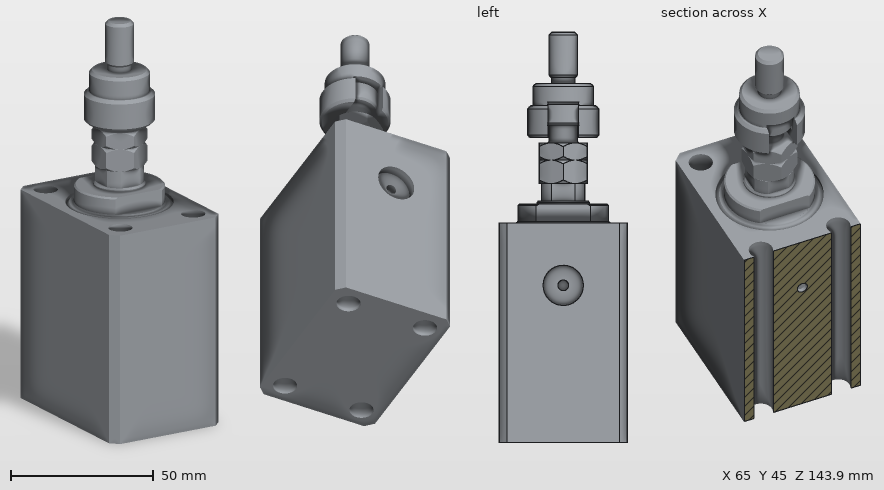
import cadquery as cq
import math

BLOCK_X = 65.0
BLOCK_Y = 45.0
BLOCK_TOP = 77.0
BLOCK_CORNER_CHAMFER = 2.9
BOLT_HOLE_DIAMETER = 8.5
BOLT_SPACING_X = 50.1
BOLT_SPACING_Y = 30.0

RECESS_RADIUS = 19.0
RECESS_DEPTH = 7.2

PORT_Z = 55.1
PORT_RADIUS = 7.0
PORT_DEPTH = 3.9
PORT_BORE_RADIUS = 1.9
PORT_BORE_DEPTH = 2.9

GLAND_RIM_CHAMFER = 1.3
LIP_RADIUS = 16.5
LIP_TOP = 77.4

ROD_RADIUS = 16.0
ROD_TOP = 83.6
ROD_CHAMFER = 0.6
ROD_FLAT_SPACING = 25.6

BASE_RADIUS = 9.2
BASE_TOP = 84.8
BASE_CHAMFER = 0.6
SHANK_RADIUS = 8.6
SHANK_FLAT_SPACING = 15.3

HEX_ACROSS_FLATS = 17.0
LOWER_HEX_BOTTOM = 90.8
UPPER_HEX_BOTTOM = 99.0
UPPER_HEX_TOP = 105.0
HEX_CHAMFER = 1.3
NECK_RADIUS = 5.0
NECK_FILLET = 0.7
HEAD_RADIUS = 8.3
HEAD_BOTTOM = 111.4
HEAD_TOP = 118.6
HEAD_CHAMFER = 0.7

FLANGE_RADIUS = 12.5
FLANGE_BOTTOM = 106.9
FLANGE_TOP = 118.1
FLANGE_TOP_CHAMFER = 1.2
FLANGE_BOTTOM_CHAMFER = 0.9
SHOULDER_RADIUS = 10.6
SHOULDER_TOP = 125.9
SHOULDER_CHAMFER = 1.0
PIN_NECK_RADIUS = 4.2
PIN_RADIUS = 5.0
PIN_BOTTOM = 127.9
PIN_TOP = 143.9
PIN_CHAMFER = 1.0
SLOT_WIDTH = 10.8
SLOT_TOP = 119.5
HEAD_CAVITY_RADIUS = 9.0
HEAD_CAVITY_FLOOR = 111.2

RECESS_FLOOR = BLOCK_TOP - RECESS_DEPTH
HEX_CORNER_RADIUS = HEX_ACROSS_FLATS / math.sqrt(3)


def cylinder(radius, bottom, top):
    """Cylinder on the Z axis between two heights."""
    return cq.Workplane("XY").workplane(offset=bottom).circle(radius).extrude(top - bottom)


def box_between(size_x, size_y, bottom, top):
    """Box centred on the Z axis between two heights."""
    return cq.Workplane("XY").workplane(offset=bottom).rect(size_x, size_y).extrude(top - bottom)


def turned(profile):
    """Solid of revolution about Z; profile lists (radius, height) from bottom to top."""
    axis_bottom = (0, profile[0][1])
    axis_top = (0, profile[-1][1])
    outline = [axis_bottom, *profile, axis_top]
    return cq.Workplane("XZ").polyline(outline).close().revolve(360, (0, 0, 0), (0, 1, 0))


def make_housing():
    block = box_between(BLOCK_X, BLOCK_Y, 0, BLOCK_TOP).edges("|Z").chamfer(BLOCK_CORNER_CHAMFER)
    bolt_holes = (
        cq.Workplane("XY")
        .rect(BOLT_SPACING_X, BOLT_SPACING_Y, forConstruction=True)
        .vertices()
        .circle(BOLT_HOLE_DIAMETER / 2)
        .extrude(BLOCK_TOP)
    )
    recess = cylinder(RECESS_RADIUS, RECESS_FLOOR, BLOCK_TOP)
    port_plane = cq.Workplane("YZ", origin=(-BLOCK_X / 2, 0, PORT_Z))
    port = port_plane.circle(PORT_RADIUS).extrude(PORT_DEPTH)
    port_bore = port_plane.circle(PORT_BORE_RADIUS).extrude(PORT_DEPTH + PORT_BORE_DEPTH)
    return block.cut(bolt_holes).cut(recess).cut(port).cut(port_bore)


def make_gland():
    ring = cylinder(RECESS_RADIUS, RECESS_FLOOR, BLOCK_TOP).faces(">Z").chamfer(GLAND_RIM_CHAMFER)
    lip = turned([(LIP_RADIUS, BLOCK_TOP), (ROD_RADIUS, LIP_TOP)])
    rod_bore = cylinder(ROD_RADIUS, RECESS_FLOOR, LIP_TOP)
    return ring.union(lip).cut(rod_bore)


def make_rod():
    round_part = cylinder(ROD_RADIUS, RECESS_FLOOR, LIP_TOP)
    rod_end = cylinder(ROD_RADIUS, LIP_TOP, ROD_TOP).faces(">Z").chamfer(ROD_CHAMFER)
    flats = box_between(ROD_FLAT_SPACING, 2 * ROD_RADIUS, LIP_TOP, ROD_TOP)
    return round_part.union(rod_end.intersect(flats))


def make_hexagon(bottom, top):
    """Hexagon with corners on the X axis, its corners cut by a cone at both ends."""
    prism = (
        cq.Workplane("XY")
        .workplane(offset=bottom)
        .polygon(6, 2 * HEX_CORNER_RADIUS)
        .extrude(top - bottom)
    )
    envelope = cylinder(HEX_CORNER_RADIUS, bottom, top).faces("<Z or >Z").chamfer(HEX_CHAMFER)
    return prism.intersect(envelope)


def make_stud_foot():
    base = cylinder(BASE_RADIUS, ROD_TOP, BASE_TOP).faces(">Z").chamfer(BASE_CHAMFER)
    shank = cylinder(SHANK_RADIUS, BASE_TOP, LOWER_HEX_BOTTOM)
    flats = box_between(SHANK_FLAT_SPACING, SHANK_FLAT_SPACING, BASE_TOP, LOWER_HEX_BOTTOM)
    return base.union(shank.intersect(flats))


def make_stud_neck():
    """Neck with a concave fillet at each end."""
    root_radius = NECK_RADIUS + NECK_FILLET
    arc_rise = NECK_FILLET * (1 - math.sqrt(0.5))
    arc_middle_radius = NECK_RADIUS + arc_rise
    lower_arc_middle = (arc_middle_radius, UPPER_HEX_TOP + arc_rise)
    upper_arc_middle = (arc_middle_radius, HEAD_BOTTOM - arc_rise)
    return (
        cq.Workplane("XZ")
        .moveTo(0, UPPER_HEX_TOP)
        .lineTo(root_radius, UPPER_HEX_TOP)
        .threePointArc(lower_arc_middle, (NECK_RADIUS, UPPER_HEX_TOP + NECK_FILLET))
        .lineTo(NECK_RADIUS, HEAD_BOTTOM - NECK_FILLET)
        .threePointArc(upper_arc_middle, (root_radius, HEAD_BOTTOM))
        .lineTo(0, HEAD_BOTTOM)
        .close()
        .revolve(360, (0, 0, 0), (0, 1, 0))
    )


def make_t_stud():
    lower_hex = make_hexagon(LOWER_HEX_BOTTOM, UPPER_HEX_BOTTOM)
    upper_hex = make_hexagon(UPPER_HEX_BOTTOM, UPPER_HEX_TOP)
    head = cylinder(HEAD_RADIUS, HEAD_BOTTOM, HEAD_TOP).faces("<Z").chamfer(HEAD_CHAMFER)
    foot = make_stud_foot()
    neck = make_stud_neck()
    return foot.union(lower_hex).union(upper_hex).union(neck).union(head)


def make_coupling():
    body = turned([
        (FLANGE_RADIUS - FLANGE_BOTTOM_CHAMFER, FLANGE_BOTTOM),
        (FLANGE_RADIUS, FLANGE_BOTTOM + FLANGE_BOTTOM_CHAMFER),
        (FLANGE_RADIUS, FLANGE_TOP - FLANGE_TOP_CHAMFER),
        (FLANGE_RADIUS - FLANGE_TOP_CHAMFER, FLANGE_TOP),
        (SHOULDER_RADIUS, FLANGE_TOP),
        (SHOULDER_RADIUS, SHOULDER_TOP - SHOULDER_CHAMFER),
        (SHOULDER_RADIUS - SHOULDER_CHAMFER, SHOULDER_TOP),
        (PIN_NECK_RADIUS, SHOULDER_TOP),
        (PIN_NECK_RADIUS, PIN_BOTTOM),
        (PIN_RADIUS, PIN_BOTTOM + PIN_RADIUS - PIN_NECK_RADIUS),
        (PIN_RADIUS, PIN_TOP - PIN_CHAMFER),
        (PIN_RADIUS - PIN_CHAMFER, PIN_TOP),
    ])
    slot_run = box_between(FLANGE_RADIUS, SLOT_WIDTH, FLANGE_BOTTOM, SLOT_TOP)
    slot_run = slot_run.translate((-FLANGE_RADIUS / 2, 0, 0))
    slot_end = cylinder(SLOT_WIDTH / 2, FLANGE_BOTTOM, SLOT_TOP)
    head_cavity = cylinder(HEAD_CAVITY_RADIUS, HEAD_CAVITY_FLOOR, SLOT_TOP)
    return body.cut(slot_run).cut(slot_end).cut(head_cavity)


housing = make_housing()
gland = make_gland()
rod = make_rod()
t_stud = make_t_stud()
coupling = make_coupling()

result = cq.Compound.makeCompound([
    housing.val(),
    gland.val(),
    rod.val(),
    t_stud.val(),
    coupling.val(),
])